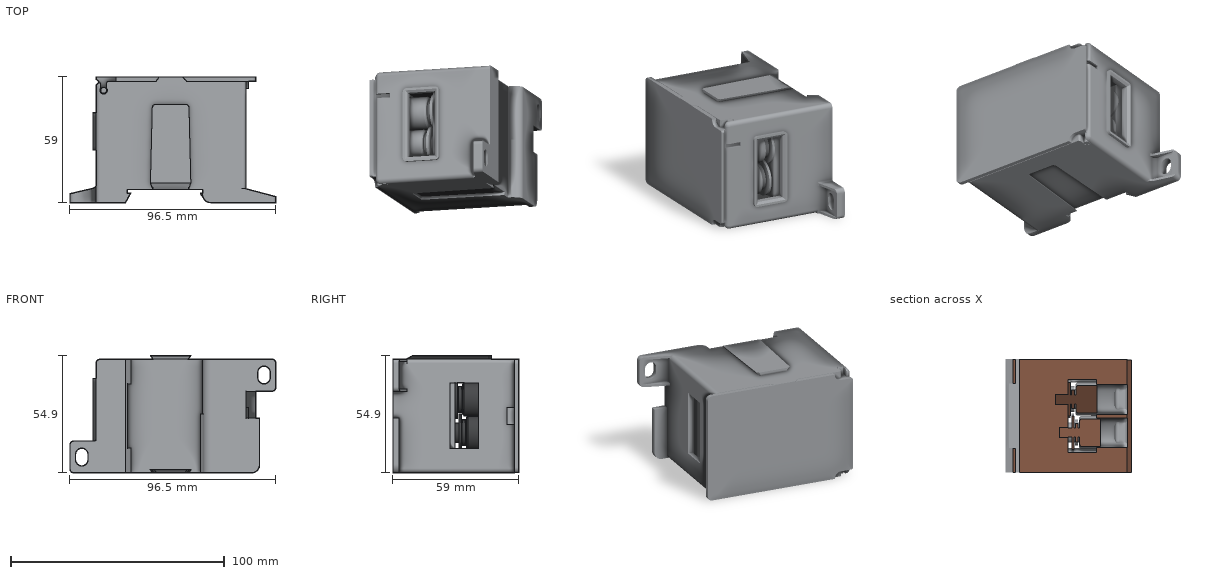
import cadquery as cq
import math

LEFT, RIGHT = 12.3, 82.5
HEIGHT = 53.3
MID_Z = HEIGHT / 2
LID_OUTER_Y = 59.0
LID_THICKNESS = 2.1
FACE_Y = LID_OUTER_Y - LID_THICKNESS
EDGE_RADIUS = 2.0

SLOT_LEFT, SLOT_RIGHT, SLOT_FLOOR = 26.9, 62.1, 6.2
HOOK_Y = 4.5
HOOK_TIP_LEFT, HOOK_FOOT_LEFT = 28.6, 26.1
HOOK_GAP_BOTTOM, HOOK_GAP_TOP = 11.6, 41.7
HOOK_TIP_RIGHT, HOOK_LENGTH_RIGHT = 61.2, 27.6
HOOK_NOSE = 0.5
HOOK_ROOT_X, HOOK_ROOT_Y = 62.8, 1.8
LEAD_IN_RADIUS = 3.9

EAR_RIGHT_END = 96.5
EAR_LEFT_TOP = 15.0
EAR_RIGHT_BOTTOM = 38.2
EAR_LEFT_THICKNESS, EAR_RIGHT_THICKNESS = 4.2, 2.9
EAR_LEFT_RISE, EAR_RIGHT_RISE = 7.1, 6.6
EAR_RADIUS = 1.9
EAR_COVE_RADIUS = 1.9
EAR_ROOT_RADIUS = 0.9
GUSSET = 1.2
EAR_EMBED = 2.2
EAR_HOLE_WIDTH, EAR_HOLE_LENGTH = 5.7, 8.2
EAR_HOLE_INSET = 5.6
EAR_HOLE_SETBACK = 7.4
FLANGE_END, FLANGE_TOP, FLANGE_RADIUS = 88.9, 25.7, 3.9

KEY_X = 47.2
KEY_HEIGHT = 1.6
KEY_UNDERCUT = 1.2
KEY_FRONT_WIDTH, KEY_BACK_WIDTH = 18.9, 17.2
KEY_FRONT_Y, KEY_BACK_Y = 9.3, 46.0
KEY_CORNER = 1.0
KEY_CLEARANCE = 0.2

WINDOW_Y, WINDOW_Z = 33.4, 26.8
WINDOW_WIDTH, WINDOW_HEIGHT = 13.3, 30.7
WINDOW_FLARE, FLARE_DEPTH = 1.1, 0.9
FRAME_RIM, FRAME_HEIGHT, FRAME_RADIUS = 1.1, 1.4, 1.8

WALL = 2.3
CHAMBER_FLOOR, CHAMBER_CEILING = 25.1, 42.3
CHAMBER_SIDE = 9.65
PEDESTAL_TOP, PEDESTAL_GAP, PEDESTAL_RADIUS = 29.1, 1.4, 0.9

BOLT_X = 23.7
BOLT_PITCH = 15.6
BOLT_STAGGER = 1.7
HEAD_RADIUS, HEAD_LENGTH, HEAD_CHAMFER = 7.7, 10.0, 0.8
STUD_RADIUS = 4.6
STUD_END = 5.8
SPRING_RADIUS, SPRING_THICKNESS = 6.1, 1.5
WASHER_RADIUS, WASHER_THICKNESS = 8.9, 1.2
STACK_GAP = 0.4
ACCESS_RADIUS = 8.0

LID_END = 87.0
LID_CLEARANCE = 0.2
LID_CORNER = 2.2
LID_LEFT_CORNER = 1.0
COVE_X, COVE_RADIUS = 18.4, 3.3
PIN_X, PIN_Y, PIN_RADIUS = 15.8, 52.6, 1.4
PIN_CLEARANCE = 0.2
ARM_LEFT, ARM_RIGHT = 14.4, 17.2
ARM_FLARE = 0.6
ARM_FLARE_Y = 56.2
LID_LIP_Y, LID_LIP_X = 57.8, 13.5
SHELF_RADIUS = 1.7
LATCH_THICKNESS, LATCH_LENGTH, LATCH_WIDTH = 1.2, 3.4, 7.9
TAB_ROOT_LEFT, TAB_ROOT_RIGHT = 40.3, 54.7
TAB_TIP_LEFT, TAB_TIP_RIGHT = 41.9, 52.7
TAB_DEPTH = 1.9
RELIEF_BOTTOM, RELIEF_TOP, RELIEF_Y, RELIEF_DEPTH = 40.7, 42.75, 48.9, 1.5


def box(x0, x1, y0, y1, z0, z1):
    """Box between two opposite corners."""
    return cq.Workplane("XY").box(x1 - x0, y1 - y0, z1 - z0, centered=False).translate((x0, y0, z0))


def prism_z(points, z0, z1):
    """Polygon in XY extruded from z0 to z1."""
    return cq.Workplane("XY").workplane(offset=z0).polyline(points).close().extrude(z1 - z0)


def cylinder_y(radius, x, z, y0, y1):
    """Cylinder along Y."""
    return cq.Workplane("XZ", origin=(x, y0, z)).circle(radius).extrude(y0 - y1)


def block():
    """Main block with the rail slot and the rounded hinge shelf in its outline."""
    diagonal = math.sqrt(0.5)
    lead_in_mid = (
        SLOT_RIGHT + LEAD_IN_RADIUS * (1 - diagonal),
        LEAD_IN_RADIUS * (1 - diagonal),
    )
    shelf_mid = (
        LEFT + SHELF_RADIUS * (1 - diagonal),
        ARM_FLARE_Y - SHELF_RADIUS * (1 - diagonal),
    )
    outline = (
        cq.Workplane("XY")
        .moveTo(LEFT, 0)
        .lineTo(HOOK_FOOT_LEFT, 0)
        .lineTo(HOOK_TIP_LEFT, HOOK_Y)
        .lineTo(SLOT_LEFT, HOOK_Y)
        .lineTo(SLOT_LEFT, SLOT_FLOOR)
        .lineTo(SLOT_RIGHT, SLOT_FLOOR)
        .lineTo(SLOT_RIGHT, LEAD_IN_RADIUS)
        .threePointArc(lead_in_mid, (SLOT_RIGHT + LEAD_IN_RADIUS, 0))
        .lineTo(RIGHT, 0)
        .lineTo(RIGHT, FACE_Y)
        .lineTo(ARM_LEFT, FACE_Y)
        .lineTo(ARM_LEFT, ARM_FLARE_Y)
        .lineTo(LEFT + SHELF_RADIUS, ARM_FLARE_Y)
        .threePointArc(shelf_mid, (LEFT, ARM_FLARE_Y - SHELF_RADIUS))
        .close()
    )
    body = outline.extrude(HEIGHT)
    left_edges = body.faces("<X").edges("|Y")
    body = left_edges.fillet(EDGE_RADIUS)
    right_edges = body.faces(">X").edges("|Y")
    return right_edges.fillet(EDGE_RADIUS)


def rail_hooks(body):
    """Clear the middle of the left hook and add the short right hook."""
    gap = box(SLOT_LEFT, HOOK_TIP_LEFT, 0, HOOK_Y, HOOK_GAP_BOTTOM, HOOK_GAP_TOP)
    right_hook = prism_z(
        [
            (HOOK_ROOT_X, HOOK_Y),
            (HOOK_TIP_RIGHT, HOOK_Y),
            (HOOK_TIP_RIGHT, HOOK_Y - HOOK_NOSE),
            (HOOK_ROOT_X, HOOK_ROOT_Y),
        ],
        0,
        HOOK_LENGTH_RIGHT,
    )
    return body.cut(gap).union(right_hook)


def ear(end_x, wall_x, z0, z1, thickness, rise, hole_z):
    """Mounting ear: a flat plate with a sloping gusset along each long edge and a slotted hole."""
    outward = math.copysign(1, end_x - wall_x)
    inside_x = wall_x - outward * EAR_EMBED
    profile = [(end_x, 0), (end_x, thickness), (wall_x, rise), (inside_x, rise), (inside_x, 0)]
    shape = prism_z(profile, z0, z1)
    hollow = box(*sorted((end_x, wall_x)), thickness, rise, z0 + GUSSET, z1 - GUSSET)
    cove_x = wall_x + outward * EAR_COVE_RADIUS
    cove_y = thickness + EAR_COVE_RADIUS
    cove_cutter = cq.Workplane("XY").center(cove_x, cove_y).circle(EAR_COVE_RADIUS).extrude(z1)
    cove = box(*sorted((cove_x, wall_x)), thickness, cove_y, z0 + GUSSET, z1 - GUSSET).cut(cove_cutter)
    shape = shape.cut(hollow).union(cove)
    envelope = box(*sorted((end_x, inside_x)), 0, rise, z0, z1)
    envelope = envelope.edges("|Y").edges("<X" if outward < 0 else ">X").fillet(EAR_RADIUS)
    shape = shape.intersect(envelope)
    hole = (
        cq.Workplane("XZ", origin=(end_x - outward * EAR_HOLE_INSET, 0, hole_z))
        .slot2D(EAR_HOLE_LENGTH, EAR_HOLE_WIDTH, 90)
        .extrude(-rise)
    )
    return shape.cut(hole)


def ear_root():
    """Concave blend between the left ear and the -X wall, above the ear and along its gussets."""
    corner_x = LEFT - EAR_ROOT_RADIUS
    top_y = EAR_LEFT_RISE + EAR_ROOT_RADIUS
    top_z = EAR_LEFT_TOP + EAR_ROOT_RADIUS
    root = box(corner_x, LEFT + EAR_EMBED, 0, top_y, 0, top_z)
    root = root.cut(cylinder_y(EAR_ROOT_RADIUS, corner_x, top_z, 0, top_y))
    root = root.cut(cq.Workplane("XY").center(corner_x, top_y).circle(EAR_ROOT_RADIUS).extrude(top_z))
    return root.cut(box(0, LEFT, EAR_LEFT_THICKNESS, top_y, GUSSET, EAR_LEFT_TOP - GUSSET))


def feet(body):
    """Add the two diagonal ears and the plain flange."""
    left_ear = ear(0, LEFT, 0, EAR_LEFT_TOP, EAR_LEFT_THICKNESS, EAR_LEFT_RISE, EAR_HOLE_SETBACK)
    right_ear = ear(
        EAR_RIGHT_END, RIGHT, EAR_RIGHT_BOTTOM, HEIGHT,
        EAR_RIGHT_THICKNESS, EAR_RIGHT_RISE, HEIGHT - EAR_HOLE_SETBACK,
    )
    flange = box(RIGHT - EAR_EMBED, FLANGE_END, 0, EAR_RIGHT_THICKNESS, 0, FLANGE_TOP)
    flange = flange.edges("|Y and >X").edges("<Z").fillet(FLANGE_RADIUS)
    return body.union(left_ear).union(right_ear).union(flange).union(ear_root())


def dovetail(wide_z, narrow_z, wide_front_y, narrow_front_y, clearance):
    """Tapered dovetail wedge between its narrow root plane and its wide outer plane."""
    def outline(front_y, inset):
        front = KEY_FRONT_WIDTH / 2 + clearance - inset
        back = KEY_BACK_WIDTH / 2 + clearance - inset
        back_y = KEY_BACK_Y + clearance
        return [
            cq.Vector(KEY_X - front, front_y),
            cq.Vector(KEY_X + front, front_y),
            cq.Vector(KEY_X + back, back_y - KEY_CORNER),
            cq.Vector(KEY_X + back - KEY_CORNER, back_y),
            cq.Vector(KEY_X - back + KEY_CORNER, back_y),
            cq.Vector(KEY_X - back, back_y - KEY_CORNER),
        ]

    def wire(front_y, inset, z):
        points = [point + cq.Vector(0, 0, z) for point in outline(front_y, inset)]
        return cq.Wire.makePolygon(points, close=True)

    wires = [wire(narrow_front_y, KEY_UNDERCUT, narrow_z), wire(wide_front_y, 0, wide_z)]
    return cq.Workplane(cq.Solid.makeLoft(wires, True))


def dovetails(body):
    """Key on the +Z side, recess in the -Z side, so that blocks stack."""
    key = dovetail(HEIGHT + KEY_HEIGHT, HEIGHT, KEY_FRONT_Y, SLOT_FLOOR, 0)
    recess = dovetail(KEY_HEIGHT, 0, SLOT_FLOOR, SLOT_FLOOR, KEY_CLEARANCE)
    return body.union(key).cut(recess)


def window_plane(x):
    """Plane normal to X through the centre of the wire window."""
    return cq.Workplane("YZ", origin=(x, WINDOW_Y, WINDOW_Z))


def wire_windows(body):
    """Framed, flared window in the -X wall and a plain one through the +X wall."""
    mouth_width = WINDOW_WIDTH + 2 * WINDOW_FLARE
    mouth_height = WINDOW_HEIGHT + 2 * WINDOW_FLARE
    frame_x = LEFT - FRAME_HEIGHT
    frame = (
        window_plane(frame_x)
        .rect(mouth_width + 2 * FRAME_RIM, mouth_height + 2 * FRAME_RIM)
        .extrude(FRAME_HEIGHT)
        .edges("|X")
        .fillet(FRAME_RADIUS)
    )
    flare = (
        window_plane(frame_x)
        .rect(mouth_width, mouth_height)
        .workplane(offset=FLARE_DEPTH)
        .rect(WINDOW_WIDTH, WINDOW_HEIGHT)
        .loft(ruled=True)
    )
    near_opening = window_plane(frame_x).rect(WINDOW_WIDTH, WINDOW_HEIGHT).extrude(FRAME_HEIGHT + WALL)
    far_opening = window_plane(RIGHT - WALL).rect(WINDOW_WIDTH, WINDOW_HEIGHT).extrude(WALL)
    return body.union(frame).cut(flare).cut(near_opening).cut(far_opening)


def bolt_places():
    """(Z, height above the pedestal) of each bolt; the lower one stands higher."""
    return [(MID_Z + BOLT_PITCH / 2, 0), (MID_Z - BOLT_PITCH / 2, BOLT_STAGGER)]


def terminal_chamber(body):
    """Hollow behind the windows, with a pedestal, bolt holes and access bores to the lid."""
    x0, x1 = LEFT + WALL, RIGHT - WALL
    z0, z1 = CHAMBER_SIDE, HEIGHT - CHAMBER_SIDE
    chamber = box(x0, x1, CHAMBER_FLOOR, CHAMBER_CEILING, z0, z1)
    pedestal = box(x0 + PEDESTAL_GAP, x1 - PEDESTAL_GAP, CHAMBER_FLOOR, PEDESTAL_TOP, z0, z1)
    pedestal = pedestal.edges("|Z and >Y").fillet(PEDESTAL_RADIUS)
    body = body.cut(chamber.cut(pedestal))
    for z, lift in bolt_places():
        body = body.cut(cylinder_y(ACCESS_RADIUS, BOLT_X, z, CHAMBER_CEILING, FACE_Y))
        body = body.cut(cylinder_y(STUD_RADIUS, BOLT_X, z, PEDESTAL_TOP + lift - STUD_END, PEDESTAL_TOP))
    return body


def hinge_arm():
    """Arm between the lid and the hinge pin, flared where it meets the lid."""
    return [
        (ARM_LEFT, PIN_Y),
        (ARM_RIGHT, PIN_Y),
        (ARM_RIGHT, ARM_FLARE_Y),
        (ARM_RIGHT + ARM_FLARE, FACE_Y),
        (LID_LIP_X, FACE_Y),
        (LID_LIP_X, ARM_FLARE_Y),
        (ARM_LEFT, ARM_FLARE_Y),
    ]


def hinge_pin(radius):
    """Full-height cylinder on the hinge axis."""
    return cq.Workplane("XY").center(PIN_X, PIN_Y).circle(radius).extrude(HEIGHT)


def lid_tab():
    """Tapered tab at the middle of the +Z edge that fills the notch in the lid."""
    corners = [
        (TAB_ROOT_LEFT, FACE_Y),
        (TAB_ROOT_RIGHT, FACE_Y),
        (TAB_TIP_RIGHT, LID_OUTER_Y),
        (TAB_TIP_LEFT, LID_OUTER_Y),
    ]
    return prism_z(corners, HEIGHT - TAB_DEPTH, HEIGHT)


def make_housing():
    body = feet(rail_hooks(block()))
    body = dovetails(body)
    body = terminal_chamber(wire_windows(body))
    body = body.cut(prism_z(hinge_arm(), 0, HEIGHT)).cut(hinge_pin(PIN_RADIUS + PIN_CLEARANCE))
    relief = box(LEFT, LEFT + RELIEF_DEPTH, RELIEF_Y, FACE_Y, RELIEF_BOTTOM, RELIEF_TOP)
    return body.cut(relief).union(lid_tab())


def make_lid():
    """Flat cover with coved hinge corners, hinge arm, pin and latch."""
    z0, z1 = LID_CLEARANCE, HEIGHT - LID_CLEARANCE
    plate = box(LEFT, LID_END, FACE_Y, LID_OUTER_Y, z0, z1)
    plate = plate.edges("|Y and >X").fillet(LID_CORNER)
    bevel = [(LEFT, FACE_Y), (LEFT, LID_LIP_Y), (LID_LIP_X, FACE_Y)]
    plate = plate.cut(prism_z(bevel, z0, z1))
    for z, inward in ((z0, 1), (z1, -1)):
        low, high = sorted((z, z + inward * COVE_RADIUS))
        notch = box(LEFT, COVE_X, FACE_Y, LID_OUTER_Y, low, high)
        plate = plate.cut(notch).cut(cylinder_y(COVE_RADIUS, COVE_X, z, FACE_Y, LID_OUTER_Y))
    plate = plate.edges("|Y and <X").fillet(LID_LEFT_CORNER)
    arm = prism_z(hinge_arm(), z0 + COVE_RADIUS, z1 - COVE_RADIUS)
    latch = box(RIGHT, RIGHT + LATCH_THICKNESS, FACE_Y - LATCH_LENGTH, FACE_Y,
                MID_Z - LATCH_WIDTH / 2, MID_Z + LATCH_WIDTH / 2)
    return plate.cut(lid_tab()).union(arm).union(hinge_pin(PIN_RADIUS)).union(latch)


def make_bolt(z, lift):
    """Cap bolt with captive flat and spring washers, standing on or above the pedestal."""
    washer_top = WASHER_THICKNESS
    spring_bottom = washer_top + STACK_GAP
    spring_top = spring_bottom + SPRING_THICKNESS
    head_bottom = spring_top + STACK_GAP
    base = PEDESTAL_TOP + lift
    bolt = cylinder_y(STUD_RADIUS, BOLT_X, z, base - STUD_END, base + head_bottom)
    bolt = bolt.union(cylinder_y(WASHER_RADIUS, BOLT_X, z, base, base + washer_top))
    bolt = bolt.union(cylinder_y(SPRING_RADIUS, BOLT_X, z, base + spring_bottom, base + spring_top))
    head = cylinder_y(HEAD_RADIUS, BOLT_X, z, base + head_bottom, base + head_bottom + HEAD_LENGTH)
    return bolt.union(head.faces("<Y").chamfer(HEAD_CHAMFER))


housing = make_housing()
lid = make_lid()
bolts = [make_bolt(z, lift) for z, lift in bolt_places()]

result = cq.Compound.makeCompound([housing.val(), lid.val(), *[bolt.val() for bolt in bolts]])